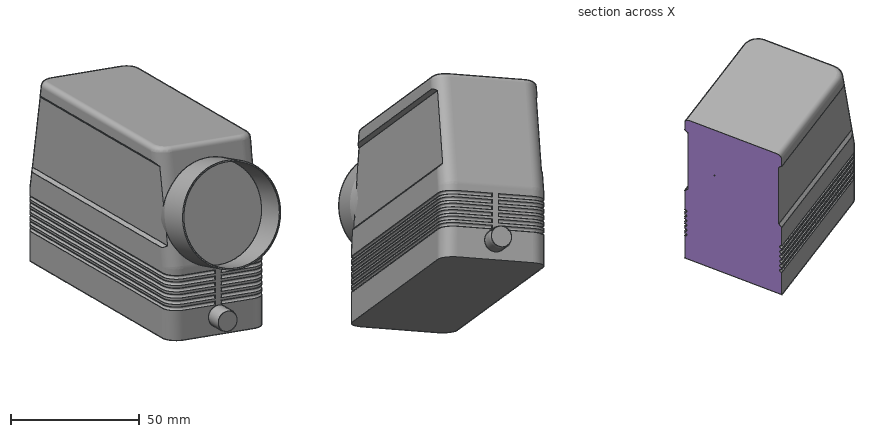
import cadquery as cq
import math

overall_length = 142.7

body_length = 120.2
body_width = 43.0
body_height = 76.0
taper_height = 29.7
taper_angle = 11.9
taper_blend_radius = 5.7
corner_radius = 6.1
top_radius = 2.3

recess_depth = 1.3
recess_bottom = 36.8
recess_top = 70.0

groove_count = 6
groove_radius = 0.7
groove_depth = 0.9
groove_pitch = 2.5
lowest_groove = 13.0
groove_gap = 2.5

pin_radius = 4.4
pin_height = 7.5
pin_reach = 67.7
pin_lead_length = 1.4
pin_lead_depth = 0.3

collar_radius = body_width / 2
collar_angle = 11.3
collar_mouth_z = 52.0
collar_length = 15.0
collar_wall = 0.5
root_length = 8.5
root_small_radius = 19.5


def make_body():
    """Block with leaning ends, rounded along its corners and around its top."""
    half_length = body_length / 2
    lean = (body_height - taper_height) * math.tan(math.radians(taper_angle))
    body = (
        cq.Workplane("XZ")
        .moveTo(-half_length, 0)
        .lineTo(half_length, 0)
        .lineTo(half_length, taper_height)
        .lineTo(half_length - lean, body_height)
        .lineTo(lean - half_length, body_height)
        .lineTo(-half_length, taper_height)
        .close()
        .extrude(body_width / 2, both=True)
    )
    taper_box = cq.selectors.BoxSelector(
        (-body_length, -body_width, taper_height - taper_blend_radius),
        (body_length, body_width, taper_height + taper_blend_radius),
    )
    body = body.edges("|Y").edges(taper_box).fillet(taper_blend_radius)
    body = body.edges("(not |X) and (not |Y)").fillet(corner_radius)
    return body.faces(">Z").edges().fillet(top_radius)


def make_recess(side):
    """Recess with 45 degree upper and lower flanks; side is -1 or +1 along Y."""
    outer = side * body_width / 2
    floor = outer - side * recess_depth
    return (
        cq.Workplane("YZ")
        .moveTo(outer, recess_bottom)
        .lineTo(floor, recess_bottom + recess_depth)
        .lineTo(floor, recess_top - recess_depth)
        .lineTo(outer, recess_top)
        .close()
        .extrude(body_length / 2, both=True)
    )


def make_groove(height):
    """Round-nosed bar along the skirt outline, interrupted in the middle of both ends."""
    outline = (
        cq.Workplane("XY", origin=(0, 0, height))
        .rect(body_length, body_width)
        .extrude(groove_pitch)
        .edges("|Z")
        .fillet(corner_radius)
        .faces("<Z")
        .wires()
    )
    bar = (
        cq.Workplane("YZ", origin=(0, -body_width / 2, height))
        .moveTo(0, groove_radius)
        .lineTo(groove_depth - groove_radius, groove_radius)
        .threePointArc((groove_depth, 0), (groove_depth - groove_radius, -groove_radius))
        .lineTo(0, -groove_radius)
        .close()
        .sweep(outline)
    )
    strip_height = 4 * groove_radius
    strip = cq.Workplane("XY", origin=(0, 0, height)).box(2 * body_length, groove_gap, strip_height)
    return bar.cut(strip)


def make_pins():
    """One bar through the body, turned about its axis, that forms the pins of both ends."""
    tip_radius = pin_radius - pin_lead_depth
    lead_start = pin_reach - pin_lead_length
    return (
        cq.Workplane("XY", origin=(0, 0, pin_height))
        .moveTo(-pin_reach, 0)
        .lineTo(-pin_reach, tip_radius)
        .lineTo(-lead_start, pin_radius)
        .lineTo(lead_start, pin_radius)
        .lineTo(pin_reach, tip_radius)
        .lineTo(pin_reach, 0)
        .close()
        .revolve(360, (0, 0, 0), (1, 0, 0))
    )


def make_collar():
    """Tilted tube with a conical root, and the bore that opens the tube."""
    tilt = math.radians(collar_angle)
    inward = cq.Vector(-math.cos(tilt), 0, -math.sin(tilt))
    mouth_x = overall_length - pin_reach - collar_radius * math.sin(tilt)
    mouth = cq.Vector(mouth_x, 0, collar_mouth_z)
    root = mouth + inward * collar_length
    tube = cq.Solid.makeCylinder(collar_radius, collar_length, mouth, inward)
    cone = cq.Solid.makeCone(collar_radius, root_small_radius, root_length, root, inward)
    bore = cq.Solid.makeCylinder(collar_radius - collar_wall, collar_length, mouth, inward)
    return tube.fuse(cone), bore


body = make_body()
for side in (-1, 1):
    body = body.cut(make_recess(side))
for index in range(groove_count):
    body = body.cut(make_groove(lowest_groove + index * groove_pitch))

collar, bore = make_collar()
result = body.union(make_pins()).union(cq.Workplane(collar)).cut(cq.Workplane(bore))